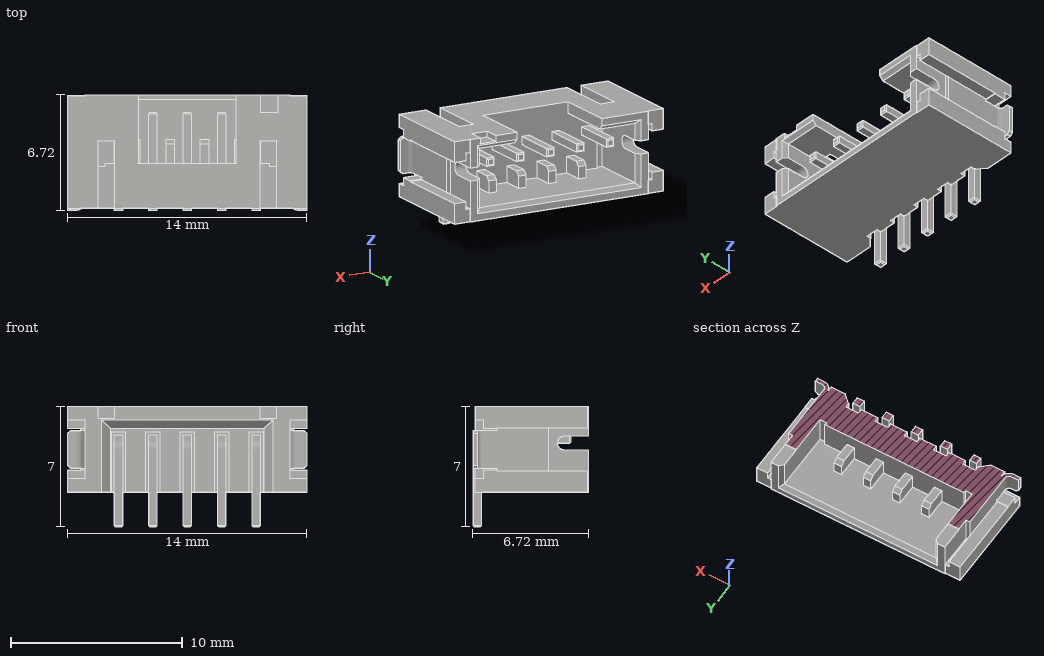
import cadquery as cq


body_width = 13.95
body_height = 5.0
flank_depth = 6.55
core_depth = 6.6
half_width = body_width / 2
mid_height = body_height / 2

cavity_half_width = 5.2
wall_thickness = 0.7
cavity_start = 2.6
corner_recess_start = 2.43
corner_recess_inner = 4.78
mouth_chamfer = 0.26

window_half_width = 2.84
slot_inner = 4.24
slot_outer = 5.18
slot_length = 3.92
key_notch_left = 4.25
key_notch_right = 5.27
key_notch_length = 1.02
key_notch_depth = 0.35

rib_width = 0.5
rib_pitch = 2.0
rib_count = 4
rib_end = 4.0
rib_height = 1.0
rib_chamfer = 0.26

side_wall_x = 5.96
tab_thickness = 0.26
groove_x = side_wall_x + tab_thickness
groove_height = 2.5
inner_slot_height = 3.4
entry_length = 1.28
entry_height = 2.42
front_notch_length = 0.5
plate_end = 4.27
tab_height = 2.2
bend_inner_radius = 0.27
tab_corner = 0.18

side_window_bottom = 2.48
side_window_top = 3.27
side_window_end = 4.79

pin_size = 0.5
pin_count = 5
pin_pitch = 2.0
overall_depth = 6.72
pin_front = core_depth - overall_depth
pin_top = 3.35
pin_bottom = -2.0
pin_end = 5.58
pin_bend_radius = 0.89
pin_tip_chamfer = 0.08

recess_half_width = 4.99
recess_top = 4.21
recess_depth = 0.5
recess_floor_half_width = 4.46
recess_floor_top = 3.73
pocket_width = 0.84
pocket_top = 3.5
pocket_depth = 0.3


def block(x_range, y_range, z_range):
    """Box given by its limits along each axis."""
    size = [high - low for low, high in (x_range, y_range, z_range)]
    corner = (x_range[0], y_range[0], z_range[0])
    return cq.Workplane("XY").box(*size, centered=False).translate(corner)


def both_sides(shape):
    """The shape together with its mirror image across X = 0."""
    return shape.union(shape.mirror("YZ"))


def centred_range(height):
    """Z limits of a feature centred on the body height."""
    return (mid_height - height / 2, mid_height + height / 2)


def row_positions(count, pitch):
    """X positions of an evenly spaced row centred on X = 0."""
    return [(i - (count - 1) / 2) * pitch for i in range(count)]


def make_body():
    flanks = block((-half_width, half_width), (0, flank_depth), (0, body_height))
    core = block((-side_wall_x, side_wall_x), (0, core_depth), (0, body_height))
    return flanks.union(core)


def tapered_block(near_y, near_limits, far_y, far_limits):
    """Solid tapering along Y between two rectangles given as (half width, bottom, top)."""
    def corners(half, bottom, top):
        return [(-half, bottom), (half, bottom), (half, top), (-half, top)]

    return (
        cq.Workplane("XZ", origin=(0, near_y, 0)).polyline(corners(*near_limits)).close()
        .workplane(offset=near_y - far_y).polyline(corners(*far_limits)).close()
        .loft(ruled=True)
    )


def make_cavity():
    """Cavity with deeper corners at its closed end and a chamfered mouth."""
    floor = wall_thickness
    ceiling = body_height - wall_thickness
    main = block((-cavity_half_width, cavity_half_width), (cavity_start, core_depth), (floor, ceiling))
    corner = block((corner_recess_inner, cavity_half_width), (corner_recess_start, cavity_start),
                   (floor, ceiling))
    mouth = tapered_block(
        core_depth - mouth_chamfer, (cavity_half_width, floor, ceiling),
        core_depth, (cavity_half_width + mouth_chamfer, floor - mouth_chamfer, ceiling + mouth_chamfer))
    return main.union(both_sides(corner)).union(mouth)


def make_top_openings():
    ceiling = body_height - wall_thickness
    depth_range = (ceiling, body_height)
    window = block((-window_half_width, window_half_width), (cavity_start, core_depth), depth_range)
    slot = block((slot_inner, slot_outer), (0, slot_length), depth_range)
    key_notch = block((key_notch_left, key_notch_right), (core_depth - key_notch_length, core_depth),
                      (body_height - key_notch_depth, body_height))
    return window.union(both_sides(slot)).union(key_notch)


def make_ribs():
    """Floor ribs between the pins, each with a chamfered top rear edge."""
    ribs = cq.Workplane("XY")
    for x in row_positions(rib_count, rib_pitch):
        rib = block((x - rib_width / 2, x + rib_width / 2), (cavity_start, rib_end),
                    (wall_thickness, wall_thickness + rib_height))
        ribs = ribs.union(rib.edges(">Y and >Z").chamfer(rib_chamfer))
    return ribs


def make_side_grooves():
    groove = block((groove_x, half_width), (0, flank_depth), centred_range(groove_height))
    plate_slot = block((side_wall_x, groove_x), (entry_length, flank_depth),
                       centred_range(inner_slot_height))
    entry = block((side_wall_x, groove_x), (0, entry_length), centred_range(entry_height))
    front_notch = block((side_wall_x, half_width), (0, front_notch_length),
                        centred_range(inner_slot_height))
    return both_sides(groove.union(plate_slot).union(entry).union(front_notch))


def make_groove_pads():
    """Thin pads that narrow the front end of each groove."""
    ledge = block((groove_x, half_width), (front_notch_length, entry_length),
                  centred_range(groove_height))
    opening = block((groove_x, half_width), (front_notch_length, entry_length),
                    centred_range(entry_height))
    return both_sides(ledge.cut(opening))


def make_side_windows():
    """Round-ended windows through the side walls, open at the back."""
    radius = (side_window_top - side_window_bottom) / 2
    profile = (
        cq.Workplane("YZ", origin=(cavity_half_width, 0, 0))
        .moveTo(core_depth, side_window_bottom)
        .lineTo(side_window_end + radius, side_window_bottom)
        .threePointArc((side_window_end, side_window_bottom + radius),
                       (side_window_end + radius, side_window_top))
        .lineTo(core_depth, side_window_top)
        .close()
    )
    return both_sides(profile.extrude(groove_x - cavity_half_width))


def make_tabs():
    """Flat plates in the side slots, bent outward into solder flanges at the front."""
    bend_outer_radius = bend_inner_radius + tab_thickness
    bend_x = groove_x + bend_inner_radius
    bend_y = pin_front + bend_outer_radius
    bottom, top = centred_range(tab_height)
    strip = (
        cq.Workplane("XY", origin=(0, 0, bottom))
        .moveTo(side_wall_x, plate_end)
        .lineTo(side_wall_x, bend_y)
        .radiusArc((bend_x, pin_front), -bend_outer_radius)
        .lineTo(half_width, pin_front)
        .lineTo(half_width, pin_front + tab_thickness)
        .lineTo(bend_x, pin_front + tab_thickness)
        .radiusArc((groove_x, bend_y), bend_inner_radius)
        .lineTo(groove_x, plate_end)
        .close()
        .extrude(top - bottom)
        .edges("|Y and >X")
        .chamfer(tab_corner)
    )
    plate = block((side_wall_x, groove_x), (entry_length, plate_end), centred_range(inner_slot_height))
    return both_sides(strip.union(plate))


def make_front_recess():
    """Recess open at the bottom, its top and side walls tapering inward."""
    recess = tapered_block(0, (recess_half_width, 0, recess_top),
                           recess_depth, (recess_floor_half_width, 0, recess_floor_top))
    for x in row_positions(pin_count, pin_pitch):
        pocket = block((x - pocket_width / 2, x + pocket_width / 2),
                       (0, recess_depth + pocket_depth), (0, pocket_top))
        recess = recess.union(pocket)
    return recess


def make_pin(x):
    """Square pin bent at a right angle, both tips chamfered."""
    bend_y = pin_front + pin_bend_radius
    bend_z = pin_top - pin_bend_radius
    inner_radius = pin_bend_radius - pin_size
    pin = (
        cq.Workplane("YZ", origin=(x, 0, 0))
        .moveTo(pin_front, pin_bottom)
        .lineTo(pin_front, bend_z)
        .radiusArc((bend_y, pin_top), pin_bend_radius)
        .lineTo(pin_end, pin_top)
        .lineTo(pin_end, pin_top - pin_size)
        .lineTo(bend_y, pin_top - pin_size)
        .radiusArc((pin_front + pin_size, bend_z), -inner_radius)
        .lineTo(pin_front + pin_size, pin_bottom)
        .close()
        .extrude(pin_size / 2, both=True)
    )
    return pin.faces("<Z or >Y").edges().chamfer(pin_tip_chamfer)


result = make_body()
result = result.cut(make_cavity()).cut(make_top_openings()).union(make_ribs())
result = result.cut(make_side_grooves()).union(make_groove_pads())
result = result.cut(make_side_windows()).cut(make_front_recess())
result = result.union(make_tabs())
for pin_x in row_positions(pin_count, pin_pitch):
    result = result.union(make_pin(pin_x))